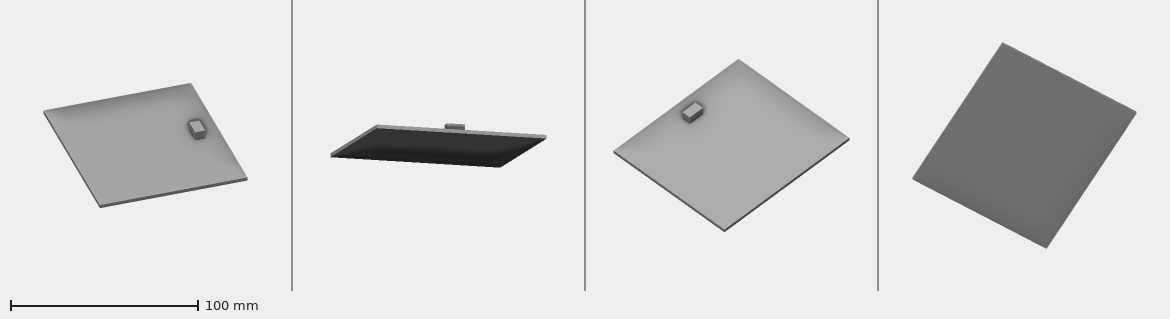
import cadquery as cq

plate_length = 95.0
plate_width = 83.0
plate_thickness = 2.0

total_height = 7.0
block_length = 10.0
block_width = 5.5
block_edge_gap = 9.7

block_height = total_height - plate_thickness
block_center_y = plate_width / 2 - block_edge_gap - block_width / 2

plate = cq.Workplane("XY").box(
    plate_length, plate_width, plate_thickness, centered=(True, True, False)
)

block = (
    cq.Workplane("XY")
    .workplane(offset=plate_thickness)
    .center(0, block_center_y)
    .box(block_length, block_width, block_height, centered=(True, True, False))
)

result = plate.union(block)